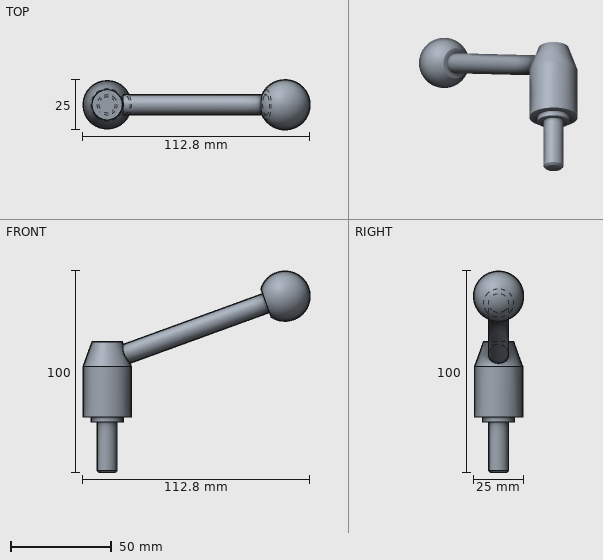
import cadquery as cq
import math

stem_diameter = 10.0
stem_length = 25.0
stem_chamfer = 1.0
collar_diameter = 16.0
collar_height = 2.5
hub_diameter = 24.0
hub_cylinder_height = 25.0
hub_cone_height = 12.5
hub_top_diameter = 15.0

rod_diameter = 10.0
rod_angle = 20.0
ball_diameter = 25.0
ball_flat_diameter = 15.0
ball_center_x = 88.25
ball_center_z = 60.0

collar_bottom = -collar_height
stem_bottom = collar_bottom - stem_length
hub_top = hub_cylinder_height + hub_cone_height


def make_base():
    """Stem, collar and tapered hub as one revolved profile."""
    stem_radius = stem_diameter / 2
    collar_radius = collar_diameter / 2
    hub_radius = hub_diameter / 2
    profile = (
        cq.Workplane("XZ")
        .moveTo(0, stem_bottom)
        .lineTo(stem_radius - stem_chamfer, stem_bottom)
        .lineTo(stem_radius, stem_bottom + stem_chamfer)
        .lineTo(stem_radius, collar_bottom)
        .lineTo(collar_radius, collar_bottom)
        .lineTo(collar_radius, 0)
        .lineTo(hub_radius, 0)
        .lineTo(hub_radius, hub_cylinder_height)
        .lineTo(hub_top_diameter / 2, hub_top)
        .lineTo(0, hub_top)
        .close()
    )
    return profile.revolve(360, (0, 0, 0), (0, 1, 0))


def make_lever():
    """Rod and flatted ball, revolved about the rod axis from the hub axis outwards."""
    rod_radius = rod_diameter / 2
    ball_radius = ball_diameter / 2
    flat_radius = ball_flat_diameter / 2
    axis_length = ball_center_x / math.cos(math.radians(rod_angle))
    axis_start_z = ball_center_z - ball_center_x * math.tan(math.radians(rod_angle))
    flat_offset = math.sqrt(ball_radius**2 - flat_radius**2)
    flat_position = axis_length - flat_offset
    profile = (
        cq.Workplane("XZ")
        .lineTo(0, rod_radius)
        .lineTo(flat_position, rod_radius)
        .lineTo(flat_position, flat_radius)
        .threePointArc((axis_length, ball_radius), (axis_length + ball_radius, 0))
        .close()
    )
    lever = profile.revolve(360, (0, 0, 0), (1, 0, 0))
    return lever.rotate((0, 0, 0), (0, 1, 0), -rod_angle).translate((0, 0, axis_start_z))


result = make_base().union(make_lever())